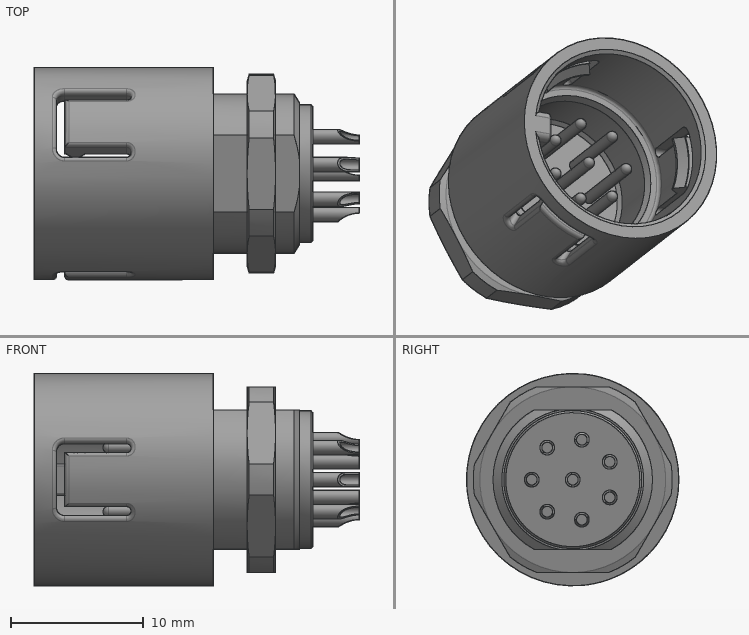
import cadquery as cq
import math


LENGTH = 24.5

SHELL_RADIUS = 16.0 / 2
SHELL_LENGTH = 13.5
BORE_RADIUS = 6.79
BORE_DEPTH = 7.5
MOUTH_CHAMFER_LENGTH = 0.17
MOUTH_CHAMFER_HEIGHT = 0.3
BORE_BOTTOM_FILLET = 0.27

INNER_MOUTH_RADIUS = 6.03
INNER_BORE_RADIUS = 11.5 / 2
CONTACT_FACE_RADIUS = 10.93 / 2
INNER_BORE_START_X = BORE_DEPTH + 0.5
INNER_STEP_CHAMFER = INNER_BORE_RADIUS - CONTACT_FACE_RADIUS
CONTACT_FACE_X = 12.25

NECK_RADIUS = 6.0
NECK_ACROSS_FLATS = 10.5
NECK_END_X = 20.0
NECK_CHAMFER_LENGTH = 0.42
NECK_CHAMFER_HEIGHT = 0.65
RING_RADIUS = 10.4 / 2
RING_END_X = 21.0
RING_CHAMFER = 0.15

KEY_WIDTH = 2.35
KEY_TOP_RADIUS = 5.73
KEY_NOSE_RADIUS = 0.55
KEY_EDGE_FILLET = 0.15

TONGUE_COUNT = 3
TONGUE_HALF_WIDTH = 2.03
TONGUE_TIP_X = 2.3
SLOT_FRONT_X = 1.7
SLOT_END_X = 7.3
SLOT_ARM_WIDTH = 0.65
SLOT_CORNER_RADIUS = 0.6
SLOT_EDGE_FILLET = 0.32
RIM_TOLERANCE = 0.002

HOOK_START_X = 2.43
HOOK_CREST_RADIUS = 6.15
HOOK_CREST_START_X = 3.01
HOOK_CREST_END_X = 3.25
HOOK_END_X = 3.85
HOOK_ROOT_OVERLAP = 0.12

CIRCLE_CONTACT_COUNT = 7
CONTACT_CIRCLE_RADIUS = 3.09
PIN_DIAMETER = 0.85
PIN_TIP_X = 5.2
CONTACT_OVERLAP = 0.25
CUP_DIAMETER = 1.1
CUP_BORE_DIAMETER = 0.8
CUP_BORE_START_X = 22.55
CUP_MOUTH_START_X = 22.85
CUP_MOUTH_DEPTH = 0.65

NUT_START_X = 16.05
NUT_WIDTH = 2.13
NUT_ACROSS_FLATS = 14.0
NUT_CORNER_RADIUS = 7.5
NUT_CHAMFER_LENGTH = 0.15


def cylinder(radius, start_x, end_x):
    """Solid cylinder along X."""
    return cq.Workplane("YZ", origin=(start_x, 0, 0)).circle(radius).extrude(end_x - start_x)


def revolve_about_x(outline):
    """Closed (x, radius) outline turned about the X axis."""
    return cq.Workplane("XY").polyline(outline).close().revolve(360, (0, 0, 0), (1, 0, 0))


def turn(body, angle):
    """Body turned about the connector axis."""
    return body.rotate((0, 0, 0), (1, 0, 0), angle)


def make_shell():
    shell = cylinder(SHELL_RADIUS, 0, SHELL_LENGTH)
    bore = cylinder(BORE_RADIUS, 0, BORE_DEPTH).faces(">X").edges().fillet(BORE_BOTTOM_FILLET)
    mouth = revolve_about_x([
        (0, 0),
        (0, BORE_RADIUS + MOUTH_CHAMFER_HEIGHT),
        (MOUTH_CHAMFER_LENGTH, BORE_RADIUS),
        (MOUTH_CHAMFER_LENGTH, 0),
    ])
    return shell.cut(bore).cut(mouth)


def make_inner_bore():
    return revolve_about_x([
        (BORE_DEPTH, 0),
        (BORE_DEPTH, INNER_MOUTH_RADIUS),
        (INNER_BORE_START_X, INNER_BORE_RADIUS),
        (CONTACT_FACE_X - INNER_STEP_CHAMFER, INNER_BORE_RADIUS),
        (CONTACT_FACE_X, CONTACT_FACE_RADIUS),
        (CONTACT_FACE_X, 0),
    ])


def make_neck():
    neck = revolve_about_x([
        (SHELL_LENGTH, 0),
        (SHELL_LENGTH, NECK_RADIUS),
        (NECK_END_X - NECK_CHAMFER_LENGTH, NECK_RADIUS),
        (NECK_END_X, NECK_RADIUS - NECK_CHAMFER_HEIGHT),
        (NECK_END_X, 0),
    ])
    flats = cq.Workplane("XY").box(2 * NECK_END_X, 2 * NECK_RADIUS, NECK_ACROSS_FLATS)
    return neck.intersect(flats)


def make_rear_ring():
    return cylinder(RING_RADIUS, NECK_END_X, RING_END_X).faces(">X").edges().chamfer(RING_CHAMFER)


def make_key():
    root_radius = (BORE_RADIUS + SHELL_RADIUS) / 2
    key = (
        cq.Workplane("XY")
        .box(INNER_BORE_START_X, root_radius - KEY_TOP_RADIUS, KEY_WIDTH, centered=(False, False, True))
        .translate((0, KEY_TOP_RADIUS, 0))
    )
    key = key.faces("<X").edges("|Y").fillet(KEY_NOSE_RADIUS)
    return key.faces("<Y").edges("|X").fillet(KEY_EDGE_FILLET)


def make_hook():
    """Hook of the tongue on the -Y side."""
    root_radius = BORE_RADIUS + HOOK_ROOT_OVERLAP
    ring = revolve_about_x([
        (HOOK_START_X, root_radius),
        (HOOK_START_X, BORE_RADIUS),
        (HOOK_CREST_START_X, HOOK_CREST_RADIUS),
        (HOOK_CREST_END_X, HOOK_CREST_RADIUS),
        (HOOK_END_X, BORE_RADIUS),
        (HOOK_END_X, root_radius),
    ])
    tongue_width = cq.Workplane("XY").box(
        LENGTH, SHELL_RADIUS, 2 * TONGUE_HALF_WIDTH, centered=(False, False, True)
    ).translate((0, -SHELL_RADIUS, 0))
    return ring.intersect(tongue_width)


def make_slot():
    """U-shaped cutter around the tongue on the -Y side."""
    inner = TONGUE_HALF_WIDTH
    outer = inner + SLOT_ARM_WIDTH
    middle = (inner + outer) / 2
    arm_end = SLOT_END_X - SLOT_ARM_WIDTH / 2
    corner = SLOT_CORNER_RADIUS
    corner_offset = corner * (1 - math.sqrt(0.5))
    return (
        cq.Workplane("XZ")
        .moveTo(TONGUE_TIP_X, -inner)
        .lineTo(arm_end, -inner)
        .threePointArc((SLOT_END_X, -middle), (arm_end, -outer))
        .lineTo(SLOT_FRONT_X + corner, -outer)
        .threePointArc(
            (SLOT_FRONT_X + corner_offset, -outer + corner_offset), (SLOT_FRONT_X, -outer + corner)
        )
        .lineTo(SLOT_FRONT_X, outer - corner)
        .threePointArc(
            (SLOT_FRONT_X + corner_offset, outer - corner_offset), (SLOT_FRONT_X + corner, outer)
        )
        .lineTo(arm_end, outer)
        .threePointArc((SLOT_END_X, middle), (arm_end, inner))
        .lineTo(TONGUE_TIP_X, inner)
        .close()
        .extrude(SHELL_RADIUS)
    )


def round_slot_edges(shell):
    """Fillet where the slots break through the outer surface."""
    slot_edges = []
    for edge in shell.edges().vals():
        middle = edge.positionAt(0.5)
        on_outer_surface = math.isclose(math.hypot(middle.y, middle.z), SHELL_RADIUS, abs_tol=RIM_TOLERANCE)
        beside_slot = SLOT_FRONT_X - RIM_TOLERANCE < middle.x < SLOT_END_X + RIM_TOLERANCE
        is_seam = edge.geomType() == "LINE" and edge.Length() > SLOT_END_X
        if on_outer_surface and beside_slot and not is_seam:
            slot_edges.append(edge)
    return shell.newObject(slot_edges).fillet(SLOT_EDGE_FILLET)


def add_latch_tongues(shell):
    angles = [i * 360 / TONGUE_COUNT for i in range(TONGUE_COUNT)]
    for angle in angles:
        shell = shell.cut(turn(make_slot(), angle))
    shell = round_slot_edges(shell)
    for angle in angles:
        shell = shell.union(turn(make_hook(), angle))
    return shell


def make_contact(y, z, opening_angle):
    """Pin with a domed tip and a solder cup open at opening_angle in the YZ plane, measured from +Y."""
    dome_center_x = PIN_TIP_X + PIN_DIAMETER / 2
    dome = cq.Workplane("XY").sphere(PIN_DIAMETER / 2).translate((dome_center_x, 0, 0))
    pin = cylinder(PIN_DIAMETER / 2, dome_center_x, CONTACT_FACE_X + CONTACT_OVERLAP).union(dome)
    cup = cylinder(CUP_DIAMETER / 2, RING_END_X - CONTACT_OVERLAP, LENGTH)
    cup = cup.cut(cylinder(CUP_BORE_DIAMETER / 2, CUP_BORE_START_X, LENGTH))

    mouth_length = LENGTH - CUP_MOUTH_START_X
    cutter_radius = (mouth_length**2 + CUP_MOUTH_DEPTH**2) / (2 * CUP_MOUTH_DEPTH)
    cutter_y = CUP_DIAMETER / 2 - CUP_MOUTH_DEPTH + cutter_radius
    cutter = (
        cq.Workplane("XY").center(LENGTH, cutter_y).circle(cutter_radius).extrude(CUP_DIAMETER, both=True)
    )
    return turn(pin.union(cup.cut(cutter)), opening_angle).translate((0, y, z))


def make_connector():
    connector = add_latch_tongues(make_shell())
    connector = connector.union(make_neck()).union(make_rear_ring())
    connector = connector.cut(make_inner_bore()).union(make_key())
    connector = connector.union(make_contact(0, 0, 0))
    for i in range(CIRCLE_CONTACT_COUNT):
        angle = 180 + i * 360 / CIRCLE_CONTACT_COUNT
        y = CONTACT_CIRCLE_RADIUS * math.cos(math.radians(angle))
        z = CONTACT_CIRCLE_RADIUS * math.sin(math.radians(angle))
        connector = connector.union(make_contact(y, z, angle))
    return connector


def make_nut():
    """Hex nut with flats facing +Z and -Z, its hole matching the flatted neck."""
    end_x = NUT_START_X + NUT_WIDTH
    face_radius = NUT_ACROSS_FLATS / 2
    corner_diameter = NUT_ACROSS_FLATS / math.cos(math.radians(30))
    hexagon = cq.Workplane("YZ", origin=(NUT_START_X, 0, 0)).polygon(6, corner_diameter).extrude(NUT_WIDTH)
    turned_blank = revolve_about_x([
        (NUT_START_X, 0),
        (NUT_START_X, face_radius),
        (NUT_START_X + NUT_CHAMFER_LENGTH, NUT_CORNER_RADIUS),
        (end_x - NUT_CHAMFER_LENGTH, NUT_CORNER_RADIUS),
        (end_x, face_radius),
        (end_x, 0),
    ])
    return hexagon.intersect(turned_blank).cut(make_neck())


connector = make_connector()
nut = make_nut()

result = cq.Compound.makeCompound([connector.solids().val(), nut.solids().val()])